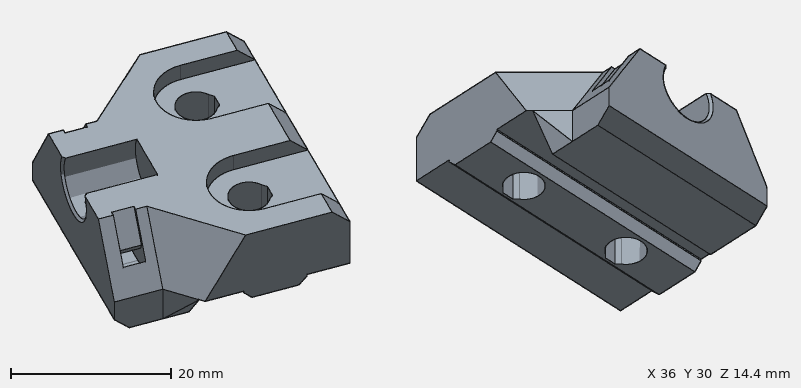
import cadquery as cq
import math

block_width = 36.0
block_depth = 30.0
block_height = 9.4
back_chamfer = 2.4

nose_half_width = 13.93
nose_depth = 6.5
side_lean = math.radians(30)
nose_top_half_width = nose_half_width - block_height * math.tan(side_lean)

lip_height = 5.0
lip_depth = 10.0
lip_front_chamfer = 2.0
lip_flare = lip_depth - nose_depth

ridge_y = 20.0
ridge_width = 8.5
ridge_tip_width = 6.3
ridge_height = 1.4
ridge_straight = 0.25

screw_spacing = 18.0
screw_y = 20.0
screw_diameter = 5.3
teardrop_height = 2.8
teardrop_flat_width = 1.72
slot_width = 10.6
slot_depth = back_chamfer

bore_radius = 4.05
bore_axis_drop = 2.0
bore_length = 9.9
bore_chamfer = 0.35

tie_y = 3.5
tie_width = 3.0
tunnel_side_gap = 1.5
tunnel_half_width = 12.0
tunnel_roof_drop = 6.0
tunnel_roof_radius = 2.0
tunnel_floor_drop = 8.0
tunnel_floor_radius = 2.75
groove_depth = 0.5


def nose_outline(z, front_half_width):
    """Closed outline of the block at height z for a given front half width."""
    half = block_width / 2
    shoulder_y = nose_depth + half - front_half_width
    right_side = [
        (front_half_width, 0),
        (front_half_width, nose_depth),
        (half, shoulder_y),
        (half, block_depth),
    ]
    left_side = [(-x, y) for x, y in reversed(right_side)]
    return cq.Workplane("XY", origin=(0, 0, z)).polyline(right_side + left_side).close()


def across(points):
    """Solid with a YZ profile running the full width of the block."""
    profile = cq.Workplane("YZ").polyline(points).close()
    return profile.extrude(block_width / 2, both=True)


def make_block():
    lower = nose_outline(0, nose_half_width).wires().val()
    upper = nose_outline(block_height, nose_top_half_width).wires().val()
    block = cq.Workplane(cq.Solid.makeLoft([lower, upper], True))
    back_corner = across([
        (block_depth, block_height),
        (block_depth - back_chamfer, block_height),
        (block_depth, block_height - back_chamfer),
    ])
    return block.cut(back_corner)


def make_lip():
    plan = nose_outline(-lip_height, nose_half_width).extrude(lip_height)
    side_profile = across([
        (0, 0),
        (lip_depth, 0),
        (lip_depth, -lip_height),
        (lip_front_chamfer, -lip_height),
        (0, lip_front_chamfer - lip_height),
    ])
    top_half_width = nose_half_width + lip_flare
    flare = (
        cq.Workplane("XZ")
        .polyline([
            (-nose_half_width, -lip_height),
            (nose_half_width, -lip_height),
            (top_half_width, 0),
            (-top_half_width, 0),
        ])
        .close()
        .extrude(-lip_depth)
    )
    return plan.intersect(side_profile).intersect(flare)


def make_ridge():
    half = ridge_width / 2
    half_tip = ridge_tip_width / 2
    return across([
        (ridge_y - half, 0),
        (ridge_y - half, -ridge_straight),
        (ridge_y - half_tip, -ridge_height),
        (ridge_y + half_tip, -ridge_height),
        (ridge_y + half, -ridge_straight),
        (ridge_y + half, 0),
    ])


def make_screw_cut(x):
    total_height = block_height + ridge_height
    radius = screw_diameter / 2
    flat_half = teardrop_flat_width / 2
    side_sum = flat_half + teardrop_height
    side_difference = math.sqrt(2 * radius**2 - side_sum**2)
    meet_x = (side_sum - side_difference) / 2
    meet_y = (side_sum + side_difference) / 2
    hole = (
        cq.Workplane("XY", origin=(x, screw_y, -ridge_height))
        .moveTo(meet_x, meet_y)
        .lineTo(flat_half, teardrop_height)
        .lineTo(-flat_half, teardrop_height)
        .lineTo(-meet_x, meet_y)
        .threePointArc((0, -radius), (meet_x, meet_y))
        .close()
        .extrude(total_height)
    )
    half = slot_width / 2
    slot_length = block_depth - screw_y
    slot = (
        cq.Workplane("XY", origin=(x, screw_y, block_height - slot_depth))
        .moveTo(half, 0)
        .lineTo(half, slot_length)
        .lineTo(-half, slot_length)
        .lineTo(-half, 0)
        .threePointArc((0, -half), (half, 0))
        .close()
        .extrude(slot_depth)
    )
    return hole.union(slot)


def make_bore_cut():
    mouth_radius = bore_radius + bore_chamfer
    half_section = [
        (0, 0),
        (mouth_radius, 0),
        (bore_radius, bore_chamfer),
        (bore_radius, bore_length),
        (0, bore_length),
    ]
    bore = cq.Workplane("XY").polyline(half_section).close().revolve(360, (0, 0), (0, 1))
    return bore.translate((0, 0, block_height - bore_axis_drop))


def rounded_bar(half_width, bottom, corner_radius):
    """Bar along Y, as long as the tie is wide, with its two lower edges rounded."""
    height = block_height - bottom
    bar = cq.Workplane("XY").box(2 * half_width, tie_width, height)
    bar = bar.edges("|Y and <Z").fillet(corner_radius)
    return bar.translate((0, tie_y, bottom + height / 2))


def make_tie_cut():
    roof_z = block_height - tunnel_roof_drop
    outer = rounded_bar(tunnel_half_width, block_height - tunnel_floor_drop, tunnel_floor_radius)
    inner = rounded_bar(tunnel_half_width - tunnel_side_gap, roof_z, tunnel_roof_radius)
    inset = groove_depth / math.cos(side_lean)
    core_top = nose_top_half_width - inset
    core_bottom = nose_half_width - inset
    core = (
        cq.Workplane("XZ")
        .polyline([
            (-core_bottom, 0),
            (core_bottom, 0),
            (core_top, block_height),
            (-core_top, block_height),
        ])
        .close()
        .extrude(-block_depth)
    )
    return outer.cut(inner.intersect(core))


result = make_block().union(make_lip()).union(make_ridge())
for side in (-1, 1):
    result = result.cut(make_screw_cut(side * screw_spacing / 2))
result = result.cut(make_bore_cut()).cut(make_tie_cut())